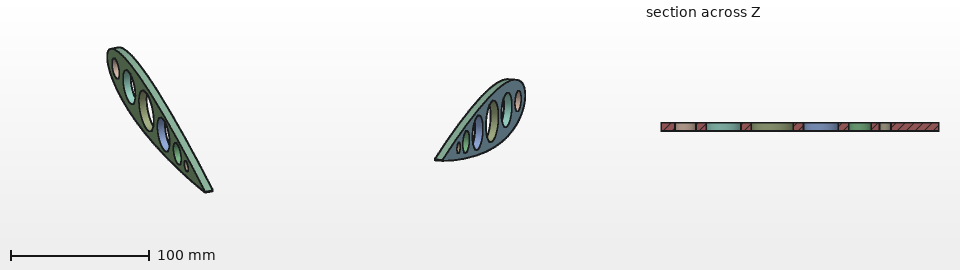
import cadquery as cq
import math

chord = 200.0
thickness_ratio = 0.21
plate_width = 6.0
points_per_side = 40

holes = [
    (17.5, 15.0),
    (45.0, 25.0),
    (80.0, 30.0),
    (115.0, 25.0),
    (143.2, 16.0),
    (161.5, 8.0),
]


def half_thickness(x):
    """NACA four-digit half thickness, leaving a narrow blunt trailing edge."""
    s = x / chord
    shape = 0.2969 * math.sqrt(s) - 0.1260 * s - 0.3516 * s**2 + 0.2843 * s**3 - 0.1015 * s**4
    return 5 * thickness_ratio * chord * shape


def station(i):
    """Cosine-spaced distance from the nose, dense at both ends."""
    return chord * (1 - math.cos(math.pi * i / points_per_side)) / 2


back_face = cq.Workplane("XZ", origin=(0, plate_width / 2, 0))


def airfoil_plate():
    """Plate whose contour runs from the tail over the top to the nose, then back underneath."""
    stations = [station(i) for i in range(points_per_side + 1)]
    upper = [(x, half_thickness(x)) for x in reversed(stations)]
    lower = [(x, -half_thickness(x)) for x in stations[1:]]
    return back_face.spline(upper + lower).close().extrude(plate_width)


def lightening_hole(distance, diameter):
    """Cylinder through the full plate width, centred on the chord line."""
    return back_face.center(distance, 0).circle(diameter / 2).extrude(plate_width)


result = airfoil_plate()
for distance, diameter in holes:
    result = result.cut(lightening_hole(distance, diameter))